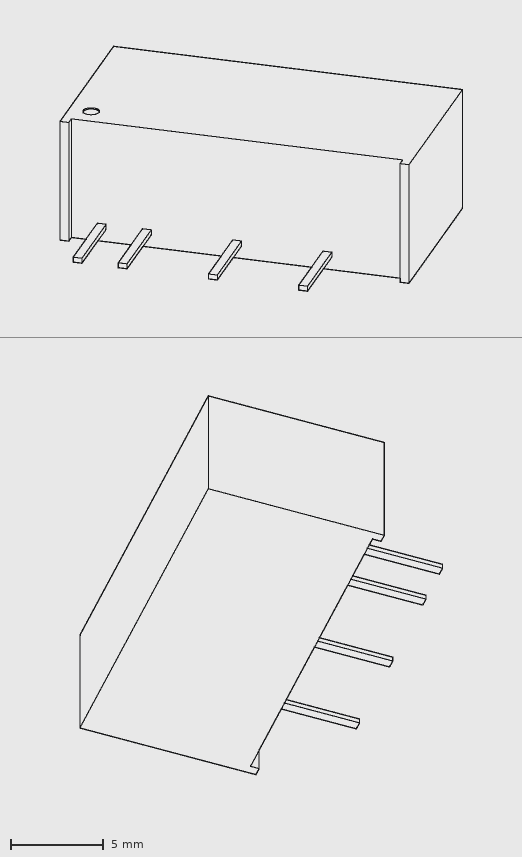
import cadquery as cq

case_length = 19.65
case_depth = 10.16
case_height = 7.05

end_wall = 0.5
recess_depth = 0.5

overall_depth = 14.26
first_pin_from_end = 2.21
pin_pitch = 2.54
pin_grid_places = (0, 1, 3, 5)
pin_width = 0.5
pin_thickness = 0.3
pin_center_z = 0.9

mark_diameter = 0.9
mark_depth = 0.075
mark_from_end = 1.24
mark_from_front = 1.24

recess_y = recess_depth - case_depth
mark_x = mark_from_end - case_length / 2
mark_y = recess_y + mark_from_front
first_pin_x = first_pin_from_end - case_length / 2
pin_length = overall_depth + recess_y


def make_case():
    """Rectangular case with its front face set back between the end walls."""
    case = cq.Workplane("XY").box(case_length, case_depth, case_height, centered=(True, False, False))
    case = case.translate((0, -case_depth, 0))
    recess_width = case_length - 2 * end_wall
    recess = cq.Workplane("XY").box(recess_width, recess_depth, case_height, centered=(True, False, False))
    return case.cut(recess.translate((0, -case_depth, 0)))


def make_mark():
    """Shallow disc to be cut from the top face."""
    top = cq.Workplane("XY", origin=(mark_x, mark_y, case_height))
    return top.circle(mark_diameter / 2).extrude(-mark_depth)


def make_pin(x):
    """Flat straight pin reaching forward from the recessed front face."""
    front = cq.Workplane("XZ", origin=(x, recess_y, pin_center_z))
    return front.rect(pin_width, pin_thickness).extrude(pin_length)


result = make_case().cut(make_mark())
for place in pin_grid_places:
    result = result.union(make_pin(first_pin_x + place * pin_pitch))